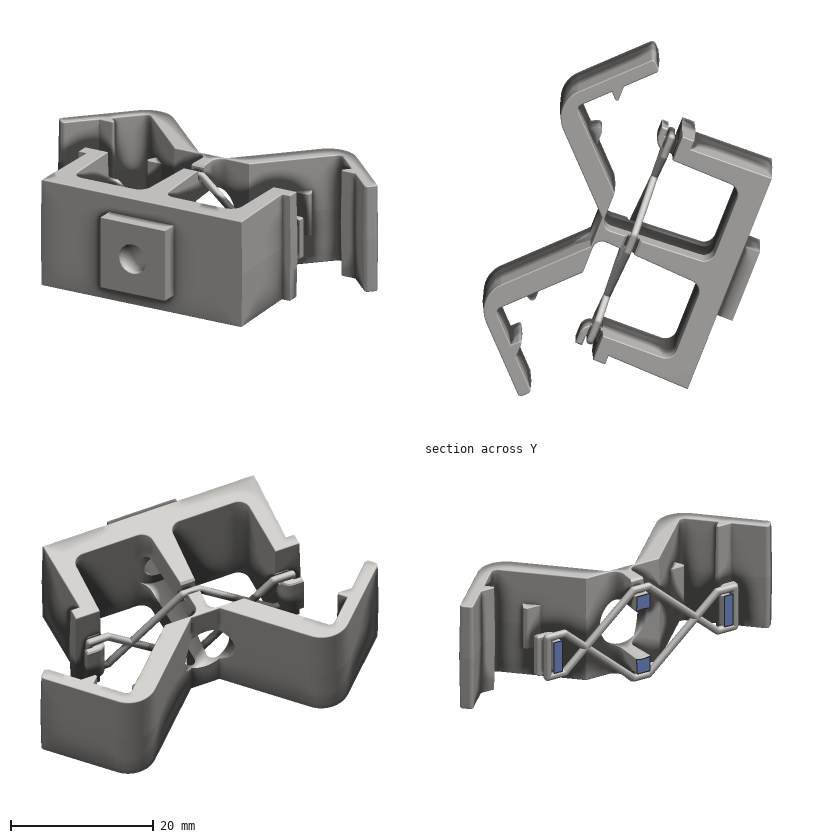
import cadquery as cq
import math


half_height = 7.99
draft = 1.0
edge_round = 0.15

base_half_width = 16.35
base_thickness = 3.6
front_allowance = 0.5
wall_half_width = 16.0
wall_top = 14.0
flange_half_width = 17.3
flange_thickness = 2.05
bay_half_width_floor = 13.1
bay_half_width_mouth = 13.3
bay_corner_radius = 1.55
web_half_width_floor = 1.8
web_half_width_plate = 0.95
web_plate_radius = 1.25

plate_bottom = 19.65
plate_thickness = 0.6
peak_x = 14.8
arm_top = 31.2
half_span = 25.85
inner_leg_thickness = 3.25
outer_leg_thickness = 2.15
peak_outer_radius = 4.25
peak_inner_radius = 0.6
tip_radius = 0.6

outer_barb_distance = 5.15
outer_barb_size = 2.05
outer_barb_radius = 0.4
inner_barb_bottom = 24.3
inner_barb_top = 26.2
inner_barb_overhang = 0.95
inner_barb_radius = 0.5
inner_barb_half_height = 3.1

pad_side = 10.5
pad_thickness = 2.5
screw_hole_diameter = 4.4
driver_hole_diameter = 7.7

band_radius = 0.5
band_flat = 0.15
band_y = 14.95
band_web_half_length = 1.25
band_web_z = 6.85
band_hook_inner_x = 12.65
band_hook_outer_x = 15.5
band_hook_z = 3.05

hook_half_height = 3.1
hook_inner_x = 13.4
hook_lip_x = 16.6
hook_top = 16.75
hook_round = 1.65
hook_chamfer = 0.2
hook_groove_radius = 0.85
web_groove_radius = 0.95
web_mouth_chamfer = 0.3

diagonal = math.sqrt(0.5)
plate_top = plate_bottom + plate_thickness
corner_gap = math.sqrt(2) - 1
peak_y = arm_top + peak_outer_radius * corner_gap
outer_tip = half_span + tip_radius * corner_gap - peak_x
inner_peak_x = peak_x + (inner_leg_thickness - outer_leg_thickness) * diagonal
inner_peak_y = peak_y - (inner_leg_thickness + outer_leg_thickness) * diagonal


def rounded_outline(corners):
    """Close a polygon of (x, y, radius) corners, rounding each corner with a tangent arc."""
    rounded = []
    for i, (x, y, radius) in enumerate(corners):
        corner = cq.Vector(x, y)
        before = (cq.Vector(*corners[i - 1][:2]) - corner).normalized()
        after = (cq.Vector(*corners[(i + 1) % len(corners)][:2]) - corner).normalized()
        half_angle = before.getAngle(after) / 2
        setback = radius / math.tan(half_angle)
        bisector = (before + after).normalized()
        middle = corner + bisector * (radius / math.sin(half_angle) - radius)
        rounded.append((corner + before * setback, middle, corner + after * setback, radius))

    outline = cq.Workplane("XY").moveTo(*rounded[0][2].toTuple()[:2])
    for start, middle, end, radius in rounded[1:] + rounded[:1]:
        outline = outline.lineTo(start.x, start.y)
        if radius > 0:
            outline = outline.threePointArc((middle.x, middle.y), (end.x, end.y))
    return outline.close()


def inset_corners(corners, inset):
    """Move the sides of a counterclockwise (x, y, radius) polygon inward by the same distance."""
    moved = []
    for i, (x, y, radius) in enumerate(corners):
        corner = cq.Vector(x, y)
        incoming = (corner - cq.Vector(*corners[i - 1][:2])).normalized()
        outgoing = (cq.Vector(*corners[(i + 1) % len(corners)][:2]) - corner).normalized()
        turn = incoming.cross(outgoing).z
        shift = (outgoing - incoming) * (inset / turn)
        if radius > 0:
            radius -= math.copysign(inset, turn)
        moved.append((x + shift.x, y + shift.y, radius))
    return moved


def drafted_prism(corners):
    """Solid that is widest at z = 0, drafted towards both ends."""
    end_inset = half_height * math.tan(math.radians(draft))
    levels = [(-half_height, end_inset), (0, 0), (half_height, end_inset)]
    wires = []
    for z, inset in levels:
        outline = rounded_outline(inset_corners(corners, inset))
        wires.append(outline.val().translate(cq.Vector(0, 0, z)))
    return cq.Workplane(cq.Solid.makeLoft(wires, ruled=True))


def both_sides(body):
    """Return the body together with its mirror image across x = 0."""
    return body.union(body.mirror("YZ"))


def frame_corners():
    """Right half of the two-bay frame, from the base up to the bridge plate."""
    flange_bottom = wall_top - flange_thickness
    return [
        (base_half_width, -front_allowance, 0),
        (wall_half_width, flange_bottom, 0),
        (flange_half_width, flange_bottom, 0),
        (flange_half_width, wall_top, 0),
        (bay_half_width_mouth, wall_top, 0),
        (bay_half_width_floor, base_thickness, bay_corner_radius),
        (web_half_width_floor, base_thickness, bay_corner_radius),
        (web_half_width_plate, plate_bottom, web_plate_radius),
    ]


def arm_corners():
    """Right arm, from the plate's under side round the tip to the plate's upper side."""
    inner_tip = outer_tip - outer_leg_thickness * diagonal
    barb = outer_barb_size * diagonal
    barb_root_x = inner_peak_x + outer_barb_distance * diagonal
    barb_root_y = inner_peak_y - outer_barb_distance * diagonal
    return [
        (inner_peak_x - (inner_peak_y - plate_bottom), plate_bottom, 0),
        (inner_peak_x, inner_peak_y, peak_inner_radius),
        (barb_root_x, barb_root_y, 0),
        (barb_root_x - barb, barb_root_y - barb, outer_barb_radius),
        (barb_root_x + barb, barb_root_y - barb, 0),
        (peak_x + inner_tip, peak_y - outer_tip - outer_leg_thickness * diagonal, tip_radius),
        (peak_x + outer_tip, peak_y - outer_tip, tip_radius),
        (peak_x, peak_y, peak_outer_radius),
        (peak_x - (peak_y - plate_top), plate_top, 0),
    ]


def web_band_slot():
    """Round-bottomed slot across the upper end of the web, concentric with the band."""
    length = 4 * web_half_width_floor
    groove = rod((-length / 2, band_web_z), (length / 2, band_web_z), web_groove_radius)
    mouth_half_width = web_groove_radius + web_mouth_chamfer
    mouth = (
        cq.Workplane("YZ", origin=(-length / 2, band_y, 0))
        .moveTo(-web_groove_radius, band_web_z)
        .lineTo(-web_groove_radius, half_height - web_mouth_chamfer)
        .lineTo(-mouth_half_width, half_height)
        .lineTo(mouth_half_width, half_height)
        .lineTo(web_groove_radius, half_height - web_mouth_chamfer)
        .lineTo(web_groove_radius, band_web_z)
        .close()
        .extrude(length)
    )
    return groove.union(mouth)


def clip_body():
    """Frame, bridge plate and arms as one drafted section."""
    right = frame_corners() + arm_corners()
    left = [(-x, y, radius) for x, y, radius in reversed(right)]
    body = drafted_prism(right + left)
    trim = cq.Workplane("XY").box(3 * base_half_width, 2 * front_allowance, 3 * half_height)
    body = body.cut(trim.translate((0, -front_allowance, 0)))
    body = body.faces("<Z or >Z").edges().fillet(edge_round)
    upper_slot = web_band_slot()
    return body.cut(upper_slot).cut(upper_slot.mirror("XY"))


def inner_barbs():
    """Short barbs on the under sides of the inner legs."""
    root_top_x = inner_peak_x - (inner_peak_y - inner_barb_top)
    root_bottom_x = inner_peak_x - (inner_peak_y - inner_barb_bottom)
    embed = inner_leg_thickness / 2
    outline = rounded_outline([
        (root_top_x, inner_barb_top, 0),
        (root_top_x + inner_barb_overhang, inner_barb_bottom, inner_barb_radius),
        (root_bottom_x, inner_barb_bottom, 0),
        (root_bottom_x - embed, inner_barb_bottom + embed, 0),
        (root_top_x - embed, inner_barb_top + embed, 0),
    ])
    return both_sides(outline.extrude(inner_barb_half_height, both=True))


def hooks():
    """Hooks on the ends of the side walls, grooved around the neck for the band."""
    root = wall_top - flange_thickness / 2
    outline = rounded_outline([
        (hook_inner_x, root, 0),
        (hook_inner_x, hook_top, hook_round),
        (hook_lip_x, hook_top, 0),
        (hook_lip_x, band_y + hook_groove_radius, 0),
        (band_hook_outer_x, band_y + hook_groove_radius, 0),
        (band_hook_outer_x, root, 0),
    ])
    hook = outline.extrude(hook_half_height, both=True)
    hook = hook.faces("<Z or >Z").edges().chamfer(hook_chamfer)
    return both_sides(hook.cut(band_hook_loop(hook_groove_radius)))


def rod(start, end, radius):
    """Rounded square rod between two (x, z) points in the plane of the band."""
    length = math.dist(start, end)
    slope = math.degrees(math.atan2(end[1] - start[1], end[0] - start[0]))
    bar = cq.Workplane("XY").box(length, 2 * radius, 2 * radius, centered=(False, True, True))
    bar = bar.edges("|X").fillet(radius - band_flat / 2)
    return bar.rotate((0, 0, 0), (0, 1, 0), -slope).translate((start[0], band_y, start[1]))


def joint(x, z, radius):
    """Round knuckle that joins two rods of the same radius."""
    disc = cq.Workplane("XZ").circle(radius).extrude(radius, both=True)
    return disc.edges().fillet(radius - band_flat / 2).translate((x, band_y, z))


def rods_along(points, radius):
    """Chain of rods through (x, z) points, with a knuckle at each inner point."""
    chain = cq.Workplane("XY")
    for start, end in zip(points, points[1:]):
        chain = chain.union(rod(start, end, radius))
    for x, z in points[1:-1]:
        chain = chain.union(joint(x, z, radius))
    return chain


def band_hook_loop(radius):
    """U-shaped stretch of the band's path around the right hook."""
    points = [
        (band_hook_inner_x, band_hook_z),
        (band_hook_outer_x, band_hook_z),
        (band_hook_outer_x, -band_hook_z),
        (band_hook_inner_x, -band_hook_z),
    ]
    return rods_along(points, radius)


def make_housing():
    """Clip with its mounting pad, bores, barbs and hooks."""
    pad = cq.Workplane("XY").box(pad_side, pad_thickness, pad_side, centered=(True, False, True))
    housing = clip_body().union(pad.translate((0, -pad_thickness, 0)))
    housing = housing.union(inner_barbs()).union(hooks())
    screw_hole = cq.Workplane("XZ", origin=(0, -pad_thickness, 0)).circle(screw_hole_diameter / 2)
    driver_hole = cq.Workplane("XZ", origin=(0, base_thickness, 0)).circle(driver_hole_diameter / 2)
    housing = housing.cut(screw_hole.extrude(-(pad_thickness + base_thickness)))
    return housing.cut(driver_hole.extrude(-(peak_y - base_thickness)))


def make_band():
    """Closed elastic band over both ends of the web and around both hooks."""
    half_path = [
        (0, band_web_z),
        (band_web_half_length, band_web_z),
        (band_hook_inner_x, -band_hook_z),
        (band_hook_outer_x, -band_hook_z),
        (band_hook_outer_x, band_hook_z),
        (band_hook_inner_x, band_hook_z),
        (band_web_half_length, -band_web_z),
        (0, -band_web_z),
    ]
    return both_sides(rods_along(half_path, band_radius))


housing = make_housing()
band = make_band()
result = cq.Compound.makeCompound([housing.val(), band.val()])